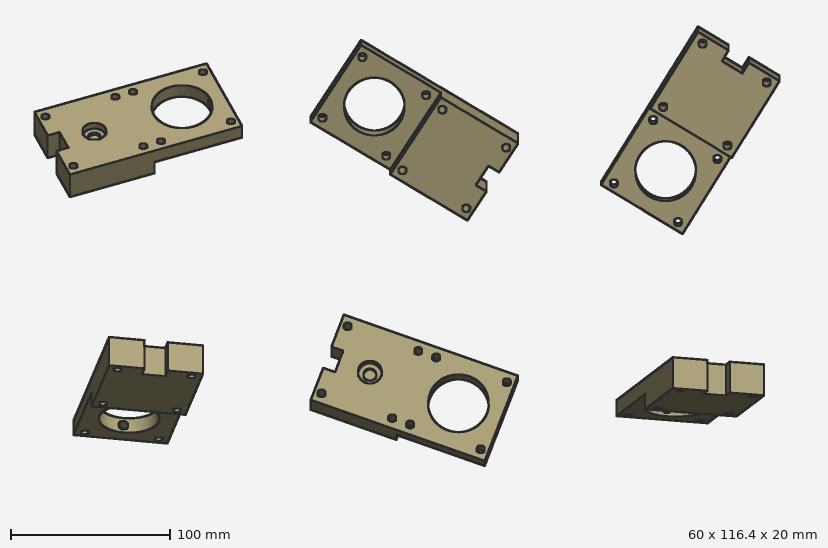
import cadquery as cq

WIDTH = 60.0
LENGTH = 116.4
HEIGHT = 20.0
PLATE_THICKNESS = 10.2
BLOCK_LENGTH = 57.3

SCREW_DIAMETER = 5.0
SCREW_SPACING = 47.2
MOTOR_CENTER_Y = 87.7
BEARING_CENTER_Y = 28.5

MOTOR_BORE_DIAMETER = 38.0
RADIAL_HOLE_DIAMETER = 6.0

BEARING_DIAMETER = 15.0
BEARING_DEPTH = 5.1
RELIEF_DIAMETER = 8.0
RELIEF_DEPTH = 2.0

NOTCH_WIDTH = 14.9
NOTCH_DEPTH = 7.9


def make_body():
    """Thin plate with a full-height block at the -Y end; top face at Z = HEIGHT."""
    plate_bottom = HEIGHT - PLATE_THICKNESS
    return (
        cq.Workplane("YZ")
        .lineTo(BLOCK_LENGTH, 0)
        .lineTo(BLOCK_LENGTH, plate_bottom)
        .lineTo(LENGTH, plate_bottom)
        .lineTo(LENGTH, HEIGHT)
        .lineTo(0, HEIGHT)
        .close()
        .extrude(WIDTH / 2, both=True)
    )


def drill_down(center_y, diameter, top_z, depth):
    """Vertical cutter on the centre line, reaching down from top_z."""
    return (
        cq.Workplane("XY", origin=(0, center_y, top_z))
        .circle(diameter / 2)
        .extrude(-depth)
    )


def screw_holes(center_y):
    """Four through-hole cutters on a square about the given centre."""
    return (
        cq.Workplane("XY", origin=(0, center_y, 0))
        .rect(SCREW_SPACING, SCREW_SPACING, forConstruction=True)
        .vertices()
        .circle(SCREW_DIAMETER / 2)
        .extrude(HEIGHT)
    )


def radial_hole():
    """Cutter from the large bore out through the +Y face, at mid-plate height."""
    return (
        cq.Workplane("XZ", origin=(0, MOTOR_CENTER_Y, HEIGHT - PLATE_THICKNESS / 2))
        .circle(RADIAL_HOLE_DIAMETER / 2)
        .extrude(MOTOR_CENTER_Y - LENGTH)
    )


def end_notch():
    """Full-height rectangular notch cutter in the -Y face."""
    return cq.Workplane("XY").box(NOTCH_WIDTH, 2 * NOTCH_DEPTH, HEIGHT, centered=(True, True, False))


result = make_body()
for pattern_center_y in (MOTOR_CENTER_Y, BEARING_CENTER_Y):
    result = result.cut(screw_holes(pattern_center_y))
result = (
    result
    .cut(drill_down(MOTOR_CENTER_Y, MOTOR_BORE_DIAMETER, HEIGHT, HEIGHT))
    .cut(radial_hole())
    .cut(drill_down(BEARING_CENTER_Y, BEARING_DIAMETER, HEIGHT, BEARING_DEPTH))
    .cut(drill_down(BEARING_CENTER_Y, RELIEF_DIAMETER, HEIGHT - BEARING_DEPTH, RELIEF_DEPTH))
    .cut(end_notch())
)